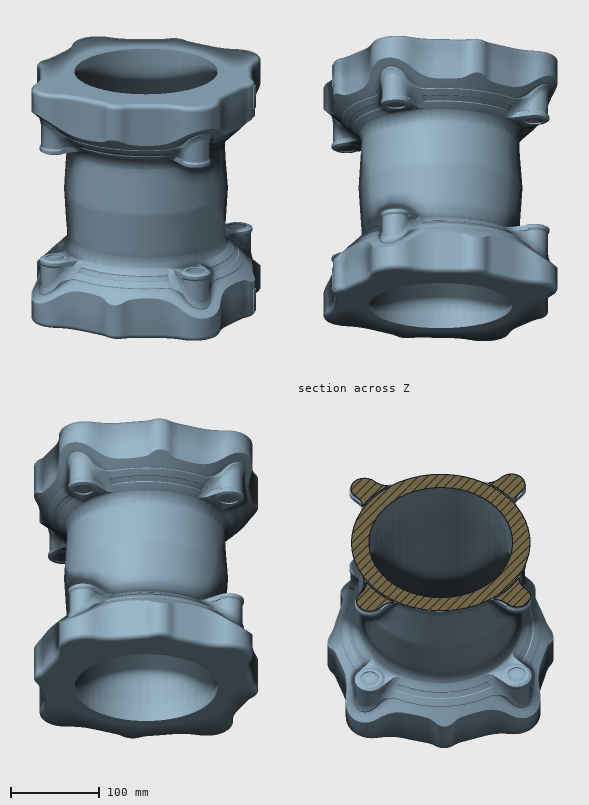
import cadquery as cq
import math

half_height = 277.0 / 2
bore_diameter = 161.0

barrel_mid_radius = 92.0
barrel_quarter_radius = 90.5
barrel_end_radius = 88.5
barrel_end_z = 52.5
mid_band_half_width = 1.7
neck_mid_radius = 89.5
neck_mid_z = 58.0
neck_radius = 91.7
neck_z = 63.5

rim_radius = 142.5
rim_z = 112.0
groove_inner_z = 70.3
groove_outer_z = 75.7
groove_depth = 1.0
collar_step = 0.3
seat_radius = 110.8
seat_step = 0.9
cone_slope = (rim_z - seat_step - neck_z) / (rim_radius - neck_radius)

side_distance = 119.3
side_normal_angle = 62.1
big_lobe_radius = 30.0
big_lobe_center = rim_radius - big_lobe_radius
small_lobe_radius = 17.0
small_lobe_center = 110.0
big_blend_radius = 57.0
small_blend_radius = 25.0
rim_fillet = 5.0

pad_width = 9.0
pad_distance = 127.5
pad_start_z = 107.0

boss_count = 4
boss_center = 116.8
boss_radius = 15.5
boss_flare_radius = 11.5
boss_foot_radius = 17.0
boss_foot_blend = 22.8
boss_root_z = 114.0
seat_blank_z = 42.7
head_radius = 16.8
head_face_z = 64.5
head_edge_z = 68.0
head_taper_z = 70.3
ring_height = 1.7
ring_top_radius = 13.7
recess_radius = 10.5
recess_depth = 1.5
tab_root_half_width = 18.2
tab_root_radius = 85.5


def cone_radius(z):
    """Radius of the inner cone at height z."""
    return neck_radius + (z - neck_z) / cone_slope


def cone_z(radius):
    """Height of the inner cone at a given radius."""
    return neck_z + (radius - neck_radius) * cone_slope


def prism(sketch, bottom, top):
    """Extrude a sketch drawn on the XY plane so that it spans from `bottom` to `top`."""
    return sketch.extrude(top - bottom).translate((0, 0, bottom))


def around_axis(solid, count, start_angle=0):
    """Union of copies of a solid spread evenly about Z."""
    copies = cq.Workplane("XY")
    for index in range(count):
        angle = start_angle + index * 360 / count
        copies = copies.union(solid.rotate((0, 0, 0), (0, 0, 1), angle))
    return copies


def post_on_axis(distance, radius, bottom, top):
    """Round post on -X, so that its seam line faces the bore axis."""
    return prism(cq.Workplane("XY").center(-distance, 0).circle(radius), bottom, top)


def fillet_upright_edges(solid, radius, nearest, farthest):
    """Fillet the Z edges whose distance to the closer of the X and Y axes lies in a range."""

    def in_range(edge):
        middle = edge.Center()
        return nearest < min(abs(middle.x), abs(middle.y)) < farthest

    return solid.edges("|Z").filter(in_range).fillet(radius)


def make_barrel():
    """Upper half of the barrel and its flared neck."""
    profile = (
        cq.Workplane("XZ")
        .lineTo(barrel_mid_radius, 0)
        .lineTo(barrel_mid_radius, mid_band_half_width)
        .threePointArc((barrel_quarter_radius, barrel_end_z / 2), (barrel_end_radius, barrel_end_z))
        .threePointArc((neck_mid_radius, neck_mid_z), (neck_radius + collar_step, neck_z))
        .lineTo(cone_radius(groove_inner_z) + collar_step, groove_inner_z)
        .lineTo(0, groove_inner_z)
        .close()
    )
    return profile.revolve(360, (0, 0, 0), (0, 1, 0))


def make_flange():
    """Lobed flange with a rounded rim and a conical back."""
    normal = math.radians(side_normal_angle)
    on_axis = side_distance / math.sin(normal)
    on_diagonal = side_distance / math.cos(normal - math.pi / 4)
    corners = []
    for index in range(8):
        angle = index * math.pi / 4
        distance = on_axis if index % 2 == 0 else on_diagonal
        corners.append((distance * math.cos(angle), distance * math.sin(angle)))
    bottom = groove_outer_z + 2 * seat_step
    big_lobe = post_on_axis(big_lobe_center, big_lobe_radius, bottom, half_height)
    small_lobe = post_on_axis(small_lobe_center, small_lobe_radius, bottom, half_height)
    flange = prism(cq.Workplane("XY").polyline(corners).close(), bottom, half_height)
    flange = flange.union(around_axis(big_lobe, 4)).union(around_axis(small_lobe, 4, 45))
    flange = fillet_upright_edges(flange, big_blend_radius, 14.2, 57)
    flange = fillet_upright_edges(flange, small_blend_radius, 57, 85.5)
    flange = flange.faces(">Z").edges().fillet(rim_fillet)

    pad_length = pad_distance - small_lobe_center
    pad = prism(
        cq.Workplane("XY").center(pad_distance - pad_length / 2, 0).rect(pad_length, pad_width),
        pad_start_z, half_height - rim_fillet,
    )
    flange = flange.union(pad.rotate((0, 0, 0), (0, 0, 1), 45))

    envelope = (
        cq.Workplane("XZ")
        .moveTo(0, neck_z + seat_step)
        .lineTo(neck_radius, neck_z + seat_step)
        .lineTo(rim_radius, rim_z)
        .lineTo(rim_radius, half_height)
        .lineTo(0, half_height)
        .close()
        .revolve(360, (0, 0, 0), (0, 1, 0))
    )
    return flange.intersect(envelope)


def make_seat():
    """Inner cone with the flared screw posts, a step outline around them and a thin groove."""
    cone = (
        cq.Workplane("XZ")
        .moveTo(0, seat_blank_z)
        .lineTo(cone_radius(seat_blank_z), seat_blank_z)
        .lineTo(cone_radius(half_height), half_height)
        .lineTo(0, half_height)
        .close()
        .revolve(360, (0, 0, 0), (0, 1, 0))
        .rotate((0, 0, 0), (0, 0, 1), 45)
    )
    spokes = prism(
        cq.Workplane("XY").slot2D(2 * (boss_center + boss_radius), 2 * boss_radius), seat_blank_z, boss_root_z
    )
    spokes = spokes.union(spokes.rotate((0, 0, 0), (0, 0, 1), 90))
    seat = cone.union(spokes)
    reach = boss_center + boss_radius + 2.8
    joint_zone = cq.selectors.BoxSelector((-reach, -reach, neck_z), (reach, reach, boss_root_z - 2.8))
    seat = seat.edges(joint_zone).fillet(boss_flare_radius)

    foot_lobe = post_on_axis(boss_center, boss_foot_radius, head_face_z, boss_root_z)
    outline = prism(cq.Workplane("XY").circle(seat_radius), head_face_z, boss_root_z)
    outline = outline.union(around_axis(foot_lobe, boss_count))
    outline = fillet_upright_edges(outline, boss_foot_blend, 8.5, 28.5)
    below_heads = prism(cq.Workplane("XY").circle(rim_radius), 0, head_face_z)
    seat = seat.cut(below_heads).intersect(outline)

    groove = (
        cq.Workplane("XZ")
        .moveTo(cone_radius(groove_inner_z), groove_inner_z)
        .lineTo(cone_radius(groove_inner_z), groove_inner_z + groove_depth)
        .lineTo(cone_radius(groove_outer_z) - groove_depth, groove_outer_z)
        .lineTo(cone_radius(groove_outer_z), groove_outer_z)
        .close()
        .revolve(360, (0, 0, 0), (0, 1, 0))
    )
    return seat.cut(groove)


def make_head():
    """Head of one screw boss on -X: tab, raised ring and shallow recess."""
    taper = (
        cq.Workplane("XY").workplane(offset=head_edge_z).center(-boss_center, 0).circle(head_radius)
        .workplane(offset=head_taper_z - head_edge_z).circle(boss_radius).loft(combine=True)
    )
    head = post_on_axis(boss_center, head_radius, head_face_z, head_edge_z)
    tab = (
        cq.Workplane("XY")
        .moveTo(-boss_center, -head_radius)
        .lineTo(-boss_center, head_radius)
        .lineTo(-tab_root_radius, tab_root_half_width)
        .lineTo(-tab_root_radius, -tab_root_half_width)
        .close()
    )
    tab = prism(tab, head_face_z, head_taper_z)
    ring = (
        cq.Workplane("XY").workplane(offset=head_face_z).center(-boss_center, 0).circle(head_radius)
        .workplane(offset=-ring_height).circle(ring_top_radius).loft(combine=True)
    )
    recess_top = head_face_z - ring_height
    recess = post_on_axis(boss_center, recess_radius, recess_top, recess_top + recess_depth)
    return taper.union(head).union(tab).union(ring).cut(recess)


upper_half = make_barrel().union(make_seat()).union(make_flange())
upper_half = upper_half.union(around_axis(make_head(), boss_count))
bore = prism(cq.Workplane("XY").circle(bore_diameter / 2), 0, half_height)
upper_half = upper_half.cut(bore)
result = upper_half.union(upper_half.mirror("XY"))